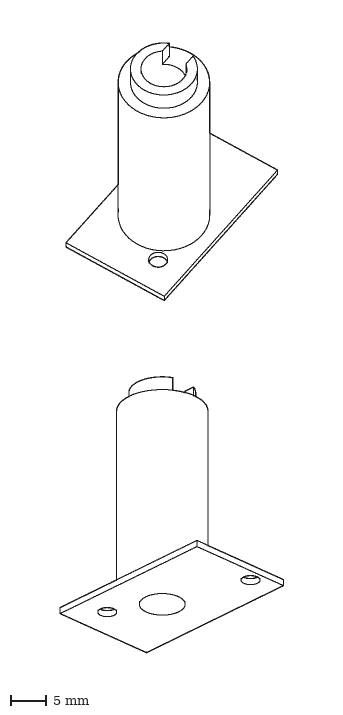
import cadquery as cq

plate_width = 17.0
plate_length = 28.0
plate_thickness = 1.0

total_height = 34.0
tube_diameter = 13.0
tube_y = -1.95
neck_diameter = 9.5
neck_height = 3.0
bore_diameter = 6.5
shoulder_z = total_height - neck_height

keyway_width = 4.08

mount_hole_diameter = 2.7
mount_hole_x = 3.98
rear_hole_y = 11.97
front_hole_y = -9.05


def cylinder(diameter, y, bottom, top):
    """Vertical cylinder on the plate's long centre line."""
    return cq.Workplane("XY", origin=(0, y, bottom)).circle(diameter / 2).extrude(top - bottom)


plate = cq.Workplane("XY").box(
    plate_width, plate_length, plate_thickness, centered=(True, True, False)
)
tube = cylinder(tube_diameter, tube_y, 0, shoulder_z)
neck = cylinder(neck_diameter, tube_y, shoulder_z, total_height)
bore = cylinder(bore_diameter, tube_y, 0, total_height)

keyway = cq.Workplane("XY", origin=(0, tube_y, shoulder_z)).box(
    keyway_width, neck_diameter, neck_height, centered=(True, False, False)
)

mount_holes = (
    cq.Workplane("XY")
    .pushPoints([(-mount_hole_x, rear_hole_y), (mount_hole_x, front_hole_y)])
    .circle(mount_hole_diameter / 2)
    .extrude(plate_thickness)
)

result = plate.cut(mount_holes).union(tube).union(neck.cut(keyway)).cut(bore)